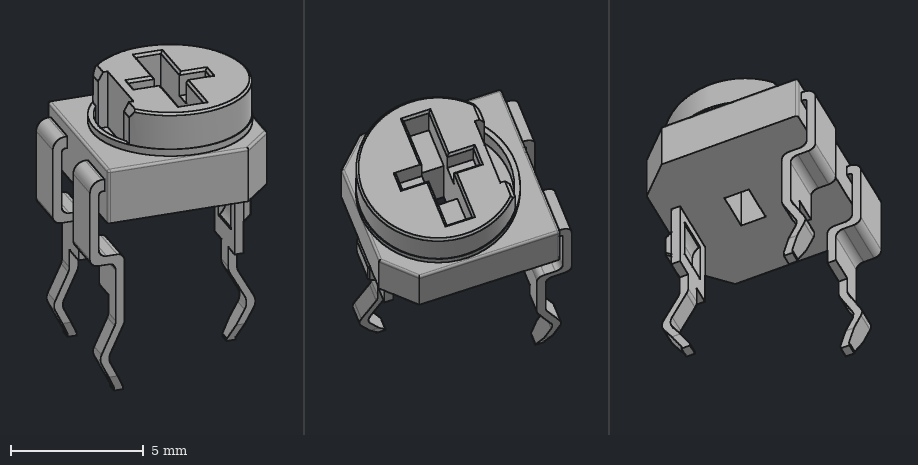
import cadquery as cq
import math

top_z = 11.25
body_bottom_z = 7.26
body_top_z = 9.48
collar_top_z = 9.76
pit_floor_z = 8.93

overlap = 0.11

body_half_x = 3.25
body_front_y = -3.71
body_back_y = 3.12
body_corner_cut = 1.18
body_edge_radius = 0.1

collar_radius = 6.2 / 2
knob_radius = 6.15 / 2
knob_edge_chamfer = 0.09
pit_radius = 2.88
flat_y = -2.37
flat_chamfer_y = 0.2
flat_chamfer_z = 0.36
notch_y = -1.99
notch_half_x = 1.4

long_floor_z = collar_top_z
short_floor_z = 10.28
slot_mouth_width = 0.09
slot_mouth_depth = 0.11
long_half_x = 2.36
long_half_y = 0.51
short_half_x = 0.36
short_half_y = 1.55
window_half_x = 0.74

sheet = 0.36
bend_radius = 0.3
pin_tip_half_x = 0.22
pin_taper_height = 0.7

side_outer_x = 2.91
side_inner_x = 1.1
side_pin_width = 0.81
side_plate_bottom_z = 3.71
hook_front_y = -4.3
hook_top_z = 8.95
hook_thickness = 0.48
hook_inner_radius = 0.15
shelf_top_z = 5.75
side_leg_front_y = -3.26
side_knee_top_z = 2.88
side_knee_bottom_z = 0.12
side_apex_z = 1.46
side_apex_offset = 0.66
side_knee_radius = 0.45

middle_plate_half_x = side_inner_x
middle_plate_bottom_z = 4.04
middle_pin_width = 0.76
middle_front_y = 2.18
middle_bottom_z = 0.05
middle_knee_top_z = 3.07
middle_knee_bottom_z = 0.16
middle_apex_z = 1.6
middle_apex_offset = 0.82
middle_knee_radius = 0.56

emboss_z = 5.84
emboss_half_x = 0.68
emboss_half_z = 0.91
emboss_crown_half_z = 0.47
emboss_height = 0.48
emboss_root = 0.09
emboss_edge_chamfer = 0.06
recess_half_z = 0.93
recess_depth = 0.28
recess_floor_half_x = 0.58
recess_flat_half_z = 0.3
recess_arc_radius = 0.92


def box(x0, x1, y0, y1, z0, z1):
    """Box between two opposite corners."""
    return cq.Workplane("XY").box(x1 - x0, y1 - y0, z1 - z0, centered=False).translate((x0, y0, z0))


def make_body():
    """Housing with two cut corners at the back and rounded top and front edges."""
    cut = body_corner_cut
    outline = [
        (-body_half_x, body_front_y),
        (body_half_x, body_front_y),
        (body_half_x, body_back_y - cut),
        (body_half_x - cut, body_back_y),
        (cut - body_half_x, body_back_y),
        (-body_half_x, body_back_y - cut),
    ]
    body = cq.Workplane("XY").workplane(offset=body_bottom_z).polyline(outline).close()
    body = body.extrude(body_top_z - body_bottom_z)
    front_corners = cq.selectors.BoxSelector(
        (-body_half_x - overlap, body_front_y - overlap, body_bottom_z),
        (body_half_x + overlap, body_front_y + overlap, body_top_z),
    )
    edges = body.faces(">Z").edges().add(body.edges("|Z").edges(front_corners))
    return edges.fillet(body_edge_radius)


def make_rotor():
    """Low collar and knob, both reaching down to the floor of the pit in front of the knob."""
    collar = cq.Workplane("XY").workplane(offset=pit_floor_z).circle(collar_radius)
    collar = collar.extrude(collar_top_z - pit_floor_z)
    knob = cq.Workplane("XY").workplane(offset=pit_floor_z).circle(knob_radius)
    knob = knob.extrude(top_z - pit_floor_z).faces(">Z").chamfer(knob_edge_chamfer)
    return collar.union(knob)


def make_knob_front_cut():
    """Material in front of the knob: the chamfered flat, its deeper notch and the pit below."""
    far_y = -collar_radius - overlap
    over_z = top_z + overlap
    wide = collar_radius
    chamfer = (
        cq.Workplane("YZ")
        .polyline([
            (flat_y, top_z - flat_chamfer_z),
            (flat_y + flat_chamfer_y, top_z),
            (flat_y, top_z),
        ])
        .close()
        .extrude(wide, both=True)
    )
    front = box(-wide, wide, far_y, flat_y, pit_floor_z, over_z)
    front = front.union(box(-notch_half_x, notch_half_x, far_y, notch_y, pit_floor_z, over_z))
    pit_height = collar_top_z - pit_floor_z
    pit = cq.Workplane("XY").workplane(offset=pit_floor_z).circle(pit_radius).extrude(pit_height)
    above_collar = box(-wide, wide, far_y, -far_y, collar_top_z, over_z)
    return front.intersect(pit.union(above_collar)).union(chamfer)


def make_slot_arm(x0, x1, y0, y1, floor_z, right_widening=slot_mouth_width):
    """One rectangular slot with a chamfered mouth; the chamfer of the +X side can be left out."""
    mouth_z = top_z - slot_mouth_depth
    widening = slot_mouth_width
    arm = box(x0, x1, y0, y1, floor_z, top_z)
    mouth = (
        cq.Workplane("XY")
        .workplane(offset=top_z)
        .center((x0 + x1) / 2, (y0 + y1) / 2)
        .rect(x1 - x0 + 2 * widening, y1 - y0 + 2 * widening)
        .extrude(-slot_mouth_depth, taper=math.degrees(math.atan(widening / slot_mouth_depth)))
    )
    limit = box(x0 - widening, x1 + right_widening, y0 - widening, y1 + widening, mouth_z, top_z)
    return arm.union(mouth.intersect(limit))


def make_cross_slot():
    """Cross slot with a rectangular window through the whole part at its centre."""
    slot = make_slot_arm(-long_half_x, long_half_x, -long_half_y, long_half_y, long_floor_z)
    slot = slot.union(make_slot_arm(-short_half_x, short_half_x, -short_half_y, 0, short_floor_z))
    slot = slot.union(make_slot_arm(-short_half_x, short_half_x, 0, short_half_y, short_floor_z, 0))
    window = box(-window_half_x, window_half_x, -long_half_y, long_half_y, body_bottom_z, top_z)
    return slot.union(window)


def make_pin(width, front_y, top, knee_top, apex, apex_offset, knee_bottom, bottom, radius):
    """Kinked pin centred on X = 0, bent by apex_offset along Y, with a tip narrowing in X."""
    path = [
        (front_y, top),
        (front_y, knee_top),
        (front_y + apex_offset, apex),
        (front_y, knee_bottom),
        (front_y, bottom),
    ]
    back = [(y + sheet, z) for y, z in reversed(path)]
    half = width / 2
    pin = cq.Workplane("YZ").polyline(path + back).close().extrude(half, both=True)
    for knee_z in (knee_top, apex):
        middle_y = front_y + sheet / 2
        knee = cq.selectors.BoxSelector(
            (-half, middle_y - 2 * abs(apex_offset), knee_z - overlap),
            (half, middle_y + 2 * abs(apex_offset), knee_z + overlap),
        )
        pin = pin.edges("|X").edges(knee).fillet(radius)
    taper_z = bottom + pin_taper_height
    silhouette = [
        (-half, top),
        (-half, taper_z),
        (-pin_tip_half_x, bottom),
        (pin_tip_half_x, bottom),
        (half, taper_z),
        (half, top),
    ]
    reach = 2 * abs(front_y)
    return pin.intersect(cq.Workplane("XZ").polyline(silhouette).close().extrude(reach, both=True))


def make_side_terminal():
    """Right-hand side terminal: hook out of the housing, inward shelf, plate and outer pin."""
    leg_back_y = side_leg_front_y + sheet
    hook_back_y = hook_front_y + sheet
    shelf_bottom_z = shelf_top_z - sheet
    hook_low_z = hook_top_z - hook_thickness
    outer_arc = hook_thickness * (1 - math.sqrt(0.5))
    inner_arc = hook_inner_radius * (1 - math.sqrt(0.5))
    strip = (
        cq.Workplane("YZ")
        .moveTo(body_front_y + overlap, hook_top_z)
        .lineTo(hook_front_y + hook_thickness, hook_top_z)
        .threePointArc(
            (hook_front_y + outer_arc, hook_top_z - outer_arc),
            (hook_front_y, hook_low_z),
        )
        .lineTo(hook_front_y, shelf_bottom_z)
        .lineTo(side_leg_front_y, shelf_bottom_z)
        .lineTo(side_leg_front_y, side_plate_bottom_z)
        .lineTo(leg_back_y, side_plate_bottom_z)
        .lineTo(leg_back_y, shelf_top_z)
        .lineTo(hook_back_y, shelf_top_z)
        .lineTo(hook_back_y, hook_low_z - hook_inner_radius)
        .threePointArc(
            (hook_back_y + inner_arc, hook_low_z - inner_arc),
            (hook_back_y + hook_inner_radius, hook_low_z),
        )
        .lineTo(body_front_y + overlap, hook_low_z)
        .close()
        .extrude(side_outer_x - side_inner_x)
        .translate((side_inner_x, 0, 0))
    )
    shelf_bends = cq.selectors.BoxSelector(
        (side_inner_x, hook_front_y - overlap, shelf_bottom_z - overlap),
        (side_outer_x, leg_back_y + overlap, shelf_top_z + overlap),
    )
    strip = strip.edges("|X").edges(shelf_bends).fillet(bend_radius)
    pin = make_pin(
        side_pin_width, side_leg_front_y, side_plate_bottom_z, side_knee_top_z, side_apex_z,
        -side_apex_offset, side_knee_bottom_z, 0, side_knee_radius,
    )
    return strip.union(pin.translate((side_outer_x - side_pin_width / 2, 0, 0)))


def make_bulge(root_y, crown_y):
    """Raised bar of the emboss with sloping ends and broken side edges."""
    back_y = middle_front_y + sheet
    bulge = (
        cq.Workplane("YZ")
        .polyline([
            (root_y, -emboss_half_z),
            (back_y, -emboss_half_z),
            (crown_y, -emboss_crown_half_z),
            (crown_y, emboss_crown_half_z),
            (back_y, emboss_half_z),
            (root_y, emboss_half_z),
        ])
        .close()
        .extrude(emboss_half_x, both=True)
        .translate((0, 0, emboss_z))
    )
    return bulge.faces("<X or >X").edges().chamfer(emboss_edge_chamfer)


def make_recess():
    """Drafted recess whose floor is flat in the middle and rises along a tangent arc each way."""
    draft = math.degrees(math.atan((emboss_half_x - recess_floor_half_x) / recess_depth))
    opening = (
        cq.Workplane("XZ", origin=(0, middle_front_y, emboss_z))
        .rect(2 * emboss_half_x, 2 * recess_half_z)
        .extrude(-recess_depth, taper=draft)
    )
    floor_y = middle_front_y + recess_depth
    run = recess_half_z - recess_flat_half_z
    mid_z = recess_flat_half_z + run / 2
    mid_y = floor_y - recess_arc_radius + math.sqrt(recess_arc_radius**2 - (run / 2) ** 2)
    end_y = floor_y - recess_arc_radius + math.sqrt(recess_arc_radius**2 - run**2)
    floor_form = (
        cq.Workplane("YZ")
        .moveTo(middle_front_y, -recess_half_z)
        .lineTo(end_y, -recess_half_z)
        .threePointArc((mid_y, -mid_z), (floor_y, -recess_flat_half_z))
        .lineTo(floor_y, recess_flat_half_z)
        .threePointArc((mid_y, mid_z), (end_y, recess_half_z))
        .lineTo(middle_front_y, recess_half_z)
        .close()
        .extrude(emboss_half_x, both=True)
        .translate((0, 0, emboss_z))
    )
    return opening.intersect(floor_form)


def make_middle_terminal():
    """Middle terminal: flat plate with a stamped emboss, and a pin kinked to the back."""
    back_y = middle_front_y + sheet
    half = middle_plate_half_x
    plate = box(-half, half, middle_front_y, back_y, middle_plate_bottom_z, body_bottom_z + overlap)
    pin = make_pin(
        middle_pin_width, middle_front_y, middle_plate_bottom_z, middle_knee_top_z, middle_apex_z,
        middle_apex_offset, middle_knee_bottom_z, middle_bottom_z, middle_knee_radius,
    )
    bulge = make_bulge(back_y - emboss_root, back_y + emboss_height)
    return plate.union(pin).union(bulge).cut(make_recess())


side_terminal = make_side_terminal()
result = make_body().union(make_rotor())
result = result.cut(make_knob_front_cut()).cut(make_cross_slot())
result = result.union(side_terminal).union(side_terminal.mirror("YZ")).union(make_middle_terminal())